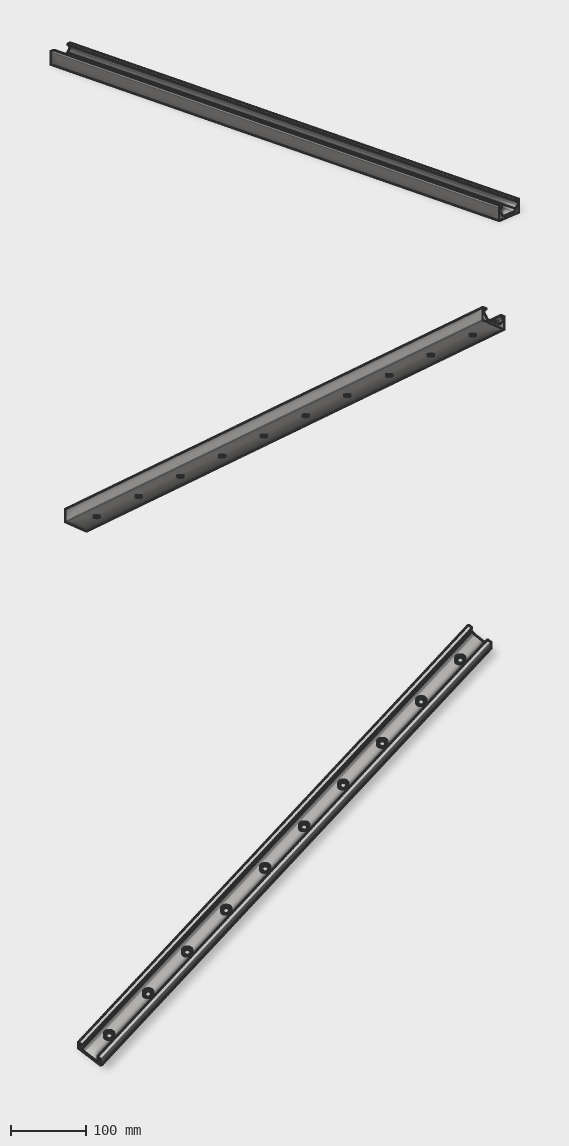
import cadquery as cq
import math

length = 800.0
width = 40.01
height = 19.74
outer_fillet = 1.0
lip_fillet = 0.7

floor_half_width = 9.35
floor_height = 4.35
floor_arc_radius = 4.0
floor_arc_angle = math.radians(78)
groove_half_width = 17.7
groove_radius = 3.0
groove_flank_angle = math.radians(45)

hole_count = 10
hole_pitch = length / hole_count
hole_diameter = 8.85
counterbore_diameter = 14.25
counterbore_depth = 2.0


def floor_arc_point(angle):
    """Point on the arc that rises from the floor edge, at an angle from straight down."""
    y = floor_half_width + floor_arc_radius * math.sin(angle)
    z = floor_height + floor_arc_radius * (1 - math.cos(angle))
    return y, z


lip_half_width, groove_bottom_height = floor_arc_point(floor_arc_angle)

root_centre_width = groove_half_width - groove_radius
root_tangent_width = root_centre_width + groove_radius * math.sin(groove_flank_angle)
root_half_height = groove_radius * math.cos(groove_flank_angle)
flank_rise = (root_tangent_width - lip_half_width) * math.tan(groove_flank_angle)
groove_height = groove_bottom_height + flank_rise + root_half_height
lip_underside_height = groove_height + root_half_height + flank_rise


def half_profile():
    """Right half of the channel section in the YZ plane."""
    half_width = width / 2
    return (
        cq.Workplane("YZ")
        .lineTo(half_width, 0)
        .lineTo(half_width, height)
        .lineTo(lip_half_width, height)
        .lineTo(lip_half_width, lip_underside_height)
        .lineTo(root_tangent_width, groove_height + root_half_height)
        .threePointArc(
            (groove_half_width, groove_height),
            (root_tangent_width, groove_height - root_half_height),
        )
        .lineTo(lip_half_width, groove_bottom_height)
        .threePointArc(floor_arc_point(floor_arc_angle / 2), (floor_half_width, floor_height))
        .lineTo(0, floor_height)
        .close()
    )


def channel():
    """Straight channel, symmetric about the XZ plane, with rounded outer corners and lip edges."""
    half = half_profile().extrude(length / 2, both=True)
    half = half.faces(">Y").edges("|X").fillet(outer_fillet)
    half = half.faces(">Z").edges("|X").edges("<Y").fillet(lip_fillet)
    return half.union(half.mirror("XZ"))


def drill_mounting_holes(rail):
    """One row of counterbored holes along the floor."""
    return (
        rail.copyWorkplane(cq.Workplane("XY", origin=(0, 0, floor_height)))
        .rarray(hole_pitch, 1, hole_count, 1)
        .cboreHole(hole_diameter, counterbore_diameter, counterbore_depth)
    )


result = drill_mounting_holes(channel())